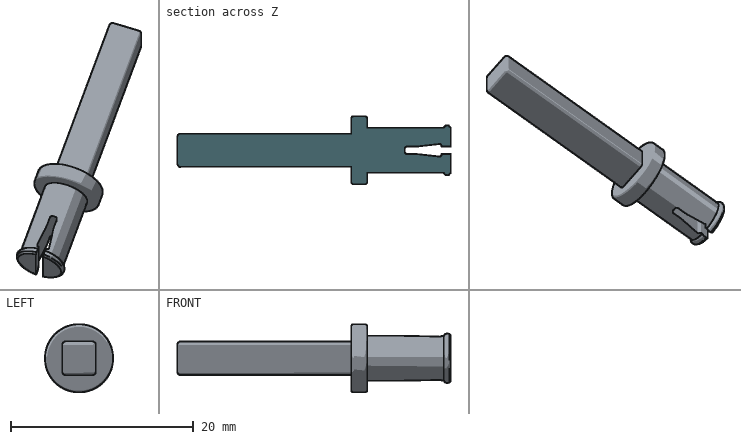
import cadquery as cq
import math

TOTAL_LENGTH = 29.99

SHANK_WIDTH = 3.7
SHANK_LENGTH = 19.05
SHANK_FILLET = 0.4

FLANGE_DIAMETER = 7.5
FLANGE_THICKNESS = 1.8
FLANGE_FILLET = 0.3

SLEEVE_DIAMETER = 4.95
BEAD_DIAMETER = 5.5
BEAD_RADIUS = 0.4
LEAD_IN_LENGTH = 0.2

SLOT_LENGTH = 5.05
SLOT_NARROW_WIDTH = 0.8
SLOT_WIDE_WIDTH = 1.4
SLOT_ROOT_LENGTH = 1.35
SLOT_NECK_LENGTH = 1.05
SLOT_ROOT_FILLET = 0.25
SLOT_TAPER_FILLET = 2.5
SLOT_SHOULDER_FILLET = 0.18
SLOT_NECK_FILLET = 0.1

SLEEVE_START = SHANK_LENGTH + FLANGE_THICKNESS
BEAD_CENTER = TOTAL_LENGTH - BEAD_RADIUS


def cylinder(start, end, diameter):
    """Solid cylinder along X."""
    return cq.Workplane("YZ").workplane(offset=start).circle(diameter / 2).extrude(end - start)


def make_shank():
    """Square bar, rounded along its edges and around its free end."""
    bar = cq.Workplane("YZ").rect(SHANK_WIDTH, SHANK_WIDTH).extrude(SHANK_LENGTH)
    return bar.edges("|X or <X").fillet(SHANK_FILLET)


def make_flange():
    """Round collar with both rims rounded."""
    return cylinder(SHANK_LENGTH, SLEEVE_START, FLANGE_DIAMETER).edges().fillet(FLANGE_FILLET)


def make_bead():
    """Snap bead of rounded section around the end of the sleeve, with a bevelled lead-in."""
    base_radius = BEAD_DIAMETER / 2 - BEAD_RADIUS
    bevel_start = TOTAL_LENGTH - LEAD_IN_LENGTH
    bevel_offset = bevel_start - BEAD_CENTER
    bevel_radius = base_radius + math.sqrt(BEAD_RADIUS**2 - bevel_offset**2)
    section = (
        cq.Workplane("XY")
        .moveTo(BEAD_CENTER - BEAD_RADIUS, 0)
        .lineTo(BEAD_CENTER - BEAD_RADIUS, base_radius)
        .threePointArc((BEAD_CENTER, BEAD_DIAMETER / 2), (bevel_start, bevel_radius))
        .lineTo(TOTAL_LENGTH, bevel_radius - LEAD_IN_LENGTH)
        .lineTo(TOTAL_LENGTH, 0)
        .close()
    )
    return section.revolve(360, (0, 0, 0), (1, 0, 0))


def corners_at(x, width):
    """Selector for the upright slot edges at a station along X and a given slot width."""
    tolerance = 0.01
    boxes = [
        cq.selectors.BoxSelector(
            (x - tolerance, side * width / 2 - tolerance, -tolerance),
            (x + tolerance, side * width / 2 + tolerance, tolerance),
        )
        for side in (-1, 1)
    ]
    return boxes[0] + boxes[1]


def make_slot():
    """Cutter for the slot through the sleeve along Z, widening towards the bead."""
    narrow = SLOT_NARROW_WIDTH / 2
    wide = SLOT_WIDE_WIDTH / 2
    root = TOTAL_LENGTH - SLOT_LENGTH
    taper_start = root + SLOT_ROOT_LENGTH
    shoulder = TOTAL_LENGTH - SLOT_NECK_LENGTH
    upper_side = [
        (root, narrow),
        (taper_start, narrow),
        (shoulder, wide),
        (shoulder, narrow),
        (TOTAL_LENGTH, narrow),
    ]
    lower_side = [(x, -y) for x, y in reversed(upper_side)]
    slot = (
        cq.Workplane("XY")
        .polyline(upper_side + lower_side)
        .close()
        .extrude(BEAD_DIAMETER / 2, both=True)
    )
    slot = slot.edges(corners_at(root, SLOT_NARROW_WIDTH)).fillet(SLOT_ROOT_FILLET)
    slot = slot.edges(corners_at(taper_start, SLOT_NARROW_WIDTH)).fillet(SLOT_TAPER_FILLET)
    slot = slot.edges(corners_at(shoulder, SLOT_WIDE_WIDTH)).fillet(SLOT_SHOULDER_FILLET)
    slot = slot.edges(corners_at(shoulder, SLOT_NARROW_WIDTH)).fillet(SLOT_NECK_FILLET)
    return slot


sleeve = cylinder(SLEEVE_START, BEAD_CENTER, SLEEVE_DIAMETER)
body = make_shank().union(make_flange()).union(sleeve).union(make_bead())
result = body.cut(make_slot())